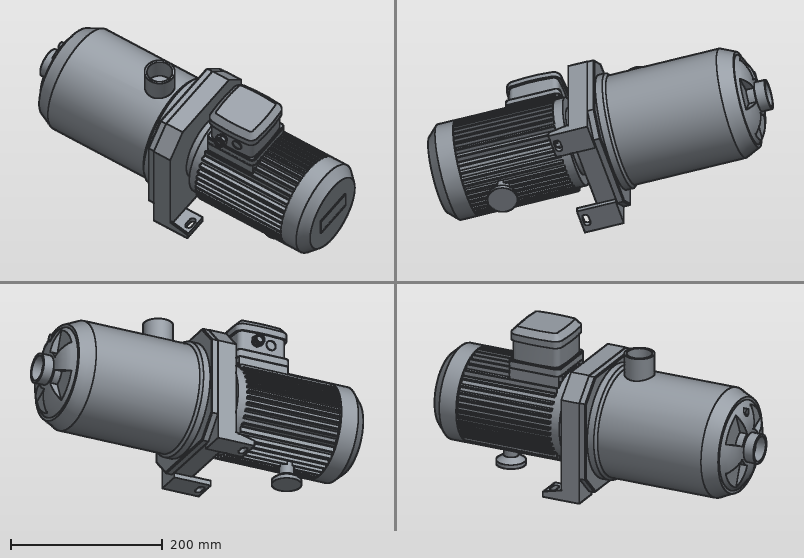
import cadquery as cq
import math

OVERALL_LENGTH = 455.0
AXIS_HEIGHT = 89.5
TOP_HEIGHT = 122.0
FLOOR_Z = -AXIS_HEIGHT

PORT_DIAMETER = 40.0
PORT_BORE = 33.5
DISCHARGE_X = 177.5
DISCHARGE_TOP = 103.5
DISCHARGE_FLOOR = 74.5

HUB_FACE_X = 14.0
RIM_X = 29.0
SHELL_START_X = 49.5
SHELL_END_X = 202.0
COLLAR_START_X = 205.8
COLLAR_END_X = 215.5
HUB_RADIUS = 24.5
DOME_RADIUS = 61.0
RIM_RADIUS = 130.0 / 2
SHELL_RADIUS = 149.0 / 2
COLLAR_RADIUS = 156.5 / 2

POCKET_COUNT = 4
POCKET_ANGLE = 45.0
POCKET_FLOOR_X = 24.5

PLUG_DIAMETER = 10.0
PLUG_Z = 48.5
PLUG_TIP_X = 18.5
PLUG_DEPTH = 9.0

BRACKET_WIDTH = 166.0
BRACKET_CORNER = 29.0
PLATE_CORNER = 28.0
PLATE_INSET = 0.7
PLATE_CHAMFER = 1.5
BRACKET_FRONT_X = 225.0
BRACKET_BACK_X = 251.3
LEG_WIDTH = 36.5
LEG_END_X = 278.5
PAD_THICKNESS = 7.5
GUSSET_WIDTH = 2.7
GUSSET_TOP_Z = -75.5
SLOT_X = 271.0
SLOT_WIDTH = 8.5
SLOT_INNER_Y = 55.0
SLOT_OUTER_Y = 73.0
NECK_DIAMETER = 91.0

MOTOR_FLANGE_X = 266.0
FINS_START_X = 278.5
FINS_END_X = 415.5
CORE_RADIUS = 120.0 / 2
FIN_TIP_RADIUS = 130.0 / 2
FIN_PITCH = 8.0
FIN_THICKNESS = 2.5
FINS_PER_HALF = 5

COVER_TAPER_X = 440.0
COVER_END_X = 454.0
COVER_END_RADIUS = 52.5
BADGE_WIDTH = 57.5
BADGE_HEIGHT = 23.5

TERMINAL_X = 315.0
PEDESTAL_LENGTH = 72.5
BASE_BOTTOM_Z = 64.0
BASE_TOP_Z = 75.5
BASE_WIDTH = 75.5
BASE_CORNER_RADIUS = 6.0
BASE_CHAMFER = 1.5
BOX_HALF_WIDTH = 36.0
LID_HALF_WIDTH = 38.5
LID_TOP_HALF_WIDTH = 30.5
LID_BOTTOM_Z = 104.0
LID_SHOULDER_Z = 113.5
SIDE_BOW = 1.5
CORNER_CENTRE = 26.5

ENTRY_Z = 90.0
ENTRY_OFFSET = 11.0
BLANK_DIAMETER = 13.5
BLANK_HEIGHT = 1.0
GLAND_ACROSS_FLATS = 13.5
GLAND_NECK_DIAMETER = 12.0
GLAND_CAP_DIAMETER = 13.5
GLAND_BORE = 10.0
GLAND_BORE_DEPTH = 2.5
GLAND_SEAT_Y = -32.0
GLAND_HEX_Y = -38.2
GLAND_HEX_END_Y = -43.5
GLAND_CAP_Y = -44.5
GLAND_END_Y = -48.0

FOOT_X = 367.0
FOOT_POST_DIAMETER = 20.0
FOOT_BASE_DIAMETER = 39.5
FOOT_POST_TOP_Z = -54.5
FOOT_CONE_TOP_Z = -77.0
FOOT_CONE_BOTTOM_Z = -83.8


def rod_x(diameter, start, end, z=0.0):
    """Cylinder parallel to X from start to end."""
    return cq.Workplane("YZ", origin=(start, 0, z)).circle(diameter / 2).extrude(end - start)


def block(x_range, y_range, z_range):
    """Box between two limits on each axis."""
    (x0, x1), (y0, y1), (z0, z1) = x_range, y_range, z_range
    return cq.Workplane("XY").box(x1 - x0, y1 - y0, z1 - z0, centered=False).translate((x0, y0, z0))


def make_plug():
    """Filler plug set into the dome."""
    return rod_x(PLUG_DIAMETER, PLUG_TIP_X, PLUG_TIP_X + PLUG_DEPTH, PLUG_Z)


def dome_arc_middle():
    """Middle point (x, radius) of the dome arc, which is tangent to the flat hub face."""
    depth = RIM_X - HUB_FACE_X
    rise = DOME_RADIUS - HUB_RADIUS
    arc_radius = (depth**2 + rise**2) / (2 * depth)
    half_sweep = math.asin(rise / arc_radius) / 2
    x = HUB_FACE_X + arc_radius * (1 - math.cos(half_sweep))
    radius = HUB_RADIUS + arc_radius * math.sin(half_sweep)
    return (x, radius)


def dome_pocket():
    """Sector-shaped cutter for one pocket, centred on +Y."""
    half_angle = math.radians(POCKET_ANGLE / 2)
    side_y = RIM_RADIUS
    side_z = RIM_RADIUS * math.tan(half_angle)
    depth = POCKET_FLOOR_X - HUB_FACE_X
    sector = (
        cq.Workplane("YZ", origin=(HUB_FACE_X, 0, 0))
        .polyline([(0, 0), (side_y, -side_z), (side_y, side_z)])
        .close()
        .extrude(depth)
    )
    return sector.cut(rod_x(2 * HUB_RADIUS, HUB_FACE_X, POCKET_FLOOR_X))


def make_casing(plug):
    """Pump casing: turned shell with a pocketed dome, suction port and discharge port."""
    casing = (
        cq.Workplane("XY")
        .moveTo(HUB_FACE_X, 0)
        .lineTo(HUB_FACE_X, HUB_RADIUS)
        .threePointArc(dome_arc_middle(), (RIM_X, DOME_RADIUS))
        .lineTo(RIM_X, RIM_RADIUS)
        .lineTo(SHELL_START_X, SHELL_RADIUS)
        .lineTo(SHELL_END_X, SHELL_RADIUS)
        .lineTo(COLLAR_START_X, COLLAR_RADIUS)
        .lineTo(COLLAR_END_X, COLLAR_RADIUS)
        .lineTo(COLLAR_END_X, 0)
        .close()
        .revolve(360, (0, 0, 0), (1, 0, 0))
    )
    pocket = dome_pocket()
    for i in range(POCKET_COUNT):
        angle = (i + 0.5) * 360 / POCKET_COUNT
        casing = casing.cut(pocket.rotate((0, 0, 0), (1, 0, 0), angle))

    casing = casing.union(rod_x(PORT_DIAMETER, 0, RIM_X))
    casing = casing.cut(rod_x(PORT_BORE, 0, HUB_FACE_X))

    discharge = cq.Workplane("XY", origin=(DISCHARGE_X, 0, 0)).circle(PORT_DIAMETER / 2)
    discharge = discharge.extrude(DISCHARGE_TOP)
    bore = cq.Workplane("XY", origin=(DISCHARGE_X, 0, DISCHARGE_FLOOR)).circle(PORT_BORE / 2)
    bore = bore.extrude(DISCHARGE_TOP - DISCHARGE_FLOOR)
    return casing.union(discharge).cut(bore).cut(plug)


def bracket_leg():
    """Leg on the +Y side: post, flat slotted pad and an outer gusset."""
    outer_y = BRACKET_WIDTH / 2
    inner_y = outer_y - LEG_WIDTH
    pad_top = FLOOR_Z + PAD_THICKNESS
    corner_top = BRACKET_CORNER - outer_y

    post = block((BRACKET_FRONT_X, BRACKET_BACK_X), (inner_y, outer_y), (FLOOR_Z, corner_top))
    pad = block((BRACKET_FRONT_X, LEG_END_X), (inner_y, outer_y), (FLOOR_Z, pad_top))
    gusset = (
        cq.Workplane("XZ", origin=(0, outer_y, 0))
        .polyline([(BRACKET_BACK_X, pad_top), (LEG_END_X, pad_top), (BRACKET_BACK_X, GUSSET_TOP_Z)])
        .close()
        .extrude(GUSSET_WIDTH)
    )
    slot = (
        cq.Workplane("XY", origin=(SLOT_X, (SLOT_INNER_Y + SLOT_OUTER_Y) / 2, FLOOR_Z))
        .slot2D(SLOT_OUTER_Y - SLOT_INNER_Y, SLOT_WIDTH, 90)
        .extrude(PAD_THICKNESS)
    )
    return post.union(pad).union(gusset).cut(slot)


def make_bracket():
    """Bracket: octagonal plates, two legs and the neck that carries the motor."""
    plate_width = BRACKET_WIDTH - 2 * PLATE_INSET
    plate = (
        cq.Workplane("YZ", origin=(COLLAR_END_X, 0, 0))
        .rect(plate_width, plate_width)
        .extrude(BRACKET_FRONT_X - COLLAR_END_X)
        .edges("|X")
        .chamfer(PLATE_CORNER)
        .faces("<X")
        .chamfer(PLATE_CHAMFER)
    )
    body = (
        cq.Workplane("YZ", origin=(BRACKET_FRONT_X, 0, 0))
        .rect(BRACKET_WIDTH, BRACKET_WIDTH)
        .extrude(BRACKET_BACK_X - BRACKET_FRONT_X)
        .edges("|X")
        .chamfer(BRACKET_CORNER)
    )
    leg = bracket_leg()
    neck = rod_x(NECK_DIAMETER, BRACKET_BACK_X, MOTOR_FLANGE_X)
    return plate.union(body).union(leg).union(leg.mirror("XZ")).union(neck)


def make_foot():
    """Turned support foot whose post is set into the underside of the motor."""
    post_radius = FOOT_POST_DIAMETER / 2
    base_radius = FOOT_BASE_DIAMETER / 2
    profile = [
        (0, FLOOR_Z),
        (base_radius, FLOOR_Z),
        (base_radius, FOOT_CONE_BOTTOM_Z),
        (post_radius, FOOT_CONE_TOP_Z),
        (post_radius, FOOT_POST_TOP_Z),
        (0, FOOT_POST_TOP_Z),
    ]
    foot = cq.Workplane("XZ").polyline(profile).close().revolve(360, (0, 0, 0), (0, 1, 0))
    return foot.translate((FOOT_X, 0, 0))


def make_motor(foot):
    """Motor: flanged core, straight fins on four sides and the terminal box pedestal."""
    motor = rod_x(2 * CORE_RADIUS, MOTOR_FLANGE_X, FINS_END_X)
    fin_length = (FINS_START_X, FINS_END_X)
    for i in range(-FINS_PER_HALF, FINS_PER_HALF + 1):
        offset = i * FIN_PITCH
        tip = math.sqrt(FIN_TIP_RADIUS**2 - (abs(offset) + FIN_THICKNESS / 2) ** 2)
        across = (offset - FIN_THICKNESS / 2, offset + FIN_THICKNESS / 2)
        motor = motor.union(block(fin_length, (-tip, tip), across))
        motor = motor.union(block(fin_length, across, (-tip, tip)))

    half_length = PEDESTAL_LENGTH / 2
    pedestal = block(
        (TERMINAL_X - half_length, TERMINAL_X + half_length),
        (-half_length, half_length),
        (0, BASE_BOTTOM_Z),
    )
    base_space = block(
        (TERMINAL_X - BASE_WIDTH / 2, TERMINAL_X + BASE_WIDTH / 2),
        (-BASE_WIDTH / 2, BASE_WIDTH / 2),
        (BASE_BOTTOM_Z, BASE_TOP_Z),
    )
    return motor.union(pedestal).cut(base_space).cut(foot)


def make_fan_cover():
    """Fan cover with a tapered end and a raised rectangular badge."""
    profile = [
        (FINS_END_X, 0),
        (FINS_END_X, FIN_TIP_RADIUS),
        (COVER_TAPER_X, FIN_TIP_RADIUS),
        (COVER_END_X, COVER_END_RADIUS),
        (COVER_END_X, 0),
    ]
    cover = cq.Workplane("XY").polyline(profile).close().revolve(360, (0, 0, 0), (1, 0, 0))
    badge = block(
        (COVER_END_X, OVERALL_LENGTH),
        (-BADGE_WIDTH / 2, BADGE_WIDTH / 2),
        (-BADGE_HEIGHT / 2, BADGE_HEIGHT / 2),
    )
    return cover.union(badge)


def make_terminal_base():
    """Plate between the motor pedestal and the terminal box."""
    return (
        cq.Workplane("XY", origin=(TERMINAL_X, 0, BASE_BOTTOM_Z))
        .rect(BASE_WIDTH, BASE_WIDTH)
        .extrude(BASE_TOP_Z - BASE_BOTTOM_Z)
        .edges("|Z")
        .fillet(BASE_CORNER_RADIUS)
        .faces(">Z")
        .chamfer(BASE_CHAMFER)
    )


def bowed_square(workplane, half_width):
    """Square outline with bowed sides and round corners; half_width is taken at mid-side."""
    side = half_width - SIDE_BOW
    corner = CORNER_CENTRE + (side - CORNER_CENTRE) * math.sqrt(0.5)
    c = CORNER_CENTRE
    return (
        workplane.moveTo(-c, -side)
        .threePointArc((0, -half_width), (c, -side))
        .threePointArc((corner, -corner), (side, -c))
        .threePointArc((half_width, 0), (side, c))
        .threePointArc((corner, corner), (c, side))
        .threePointArc((0, half_width), (-c, side))
        .threePointArc((-corner, corner), (-side, c))
        .threePointArc((-half_width, 0), (-side, -c))
        .threePointArc((-corner, -corner), (-c, -side))
        .close()
    )


def terminal_plane(z):
    """Horizontal workplane centred on the terminal box."""
    return cq.Workplane("XY", origin=(TERMINAL_X, 0, z))


def rod_y(diameter, start, end, x):
    """Cylinder pointing to -Y from start to end at the height of the cable entries."""
    return cq.Workplane("XZ", origin=(x, start, ENTRY_Z)).circle(diameter / 2).extrude(start - end)


def make_terminal_box(gland):
    """Terminal box with a slightly raised blank disc beside the gland."""
    box = bowed_square(terminal_plane(BASE_TOP_Z), BOX_HALF_WIDTH).extrude(LID_BOTTOM_Z - BASE_TOP_Z)
    blank = rod_y(BLANK_DIAMETER, 0, -BOX_HALF_WIDTH - BLANK_HEIGHT, TERMINAL_X + ENTRY_OFFSET)
    return box.union(blank).cut(gland)


def make_terminal_lid():
    """Lid with a straight rim and a sloped shoulder up to its flat top."""
    rim = bowed_square(terminal_plane(LID_BOTTOM_Z), LID_HALF_WIDTH)
    rim = rim.extrude(LID_SHOULDER_Z - LID_BOTTOM_Z)
    shoulder = bowed_square(terminal_plane(LID_SHOULDER_Z), LID_HALF_WIDTH)
    shoulder = shoulder.workplane(offset=TOP_HEIGHT - LID_SHOULDER_Z)
    shoulder = bowed_square(shoulder, LID_TOP_HALF_WIDTH).loft(ruled=True)
    return rim.union(shoulder)


def make_gland():
    """Cable gland: neck set into the box wall, hexagon with points up and down, bored cap."""
    x = TERMINAL_X - ENTRY_OFFSET
    neck = rod_y(GLAND_NECK_DIAMETER, GLAND_SEAT_Y, GLAND_CAP_Y, x)
    hexagon = (
        cq.Workplane("XZ", origin=(x, GLAND_HEX_Y, ENTRY_Z))
        .transformed(rotate=(0, 0, 90))
        .polygon(6, GLAND_ACROSS_FLATS / math.cos(math.pi / 6))
        .extrude(GLAND_HEX_Y - GLAND_HEX_END_Y)
    )
    cap = rod_y(GLAND_CAP_DIAMETER, GLAND_CAP_Y, GLAND_END_Y, x)
    bore = rod_y(GLAND_BORE, GLAND_END_Y + GLAND_BORE_DEPTH, GLAND_END_Y, x)
    return neck.union(hexagon).union(cap).cut(bore)


plug = make_plug()
casing = make_casing(plug)
bracket = make_bracket()
foot = make_foot()
motor = make_motor(foot)
fan_cover = make_fan_cover()
terminal_base = make_terminal_base()
gland = make_gland()
terminal_box = make_terminal_box(gland)
terminal_lid = make_terminal_lid()

result = cq.Compound.makeCompound(
    [
        casing.val(),
        plug.val(),
        bracket.val(),
        motor.val(),
        foot.val(),
        fan_cover.val(),
        terminal_base.val(),
        terminal_box.val(),
        terminal_lid.val(),
        gland.val(),
    ]
)